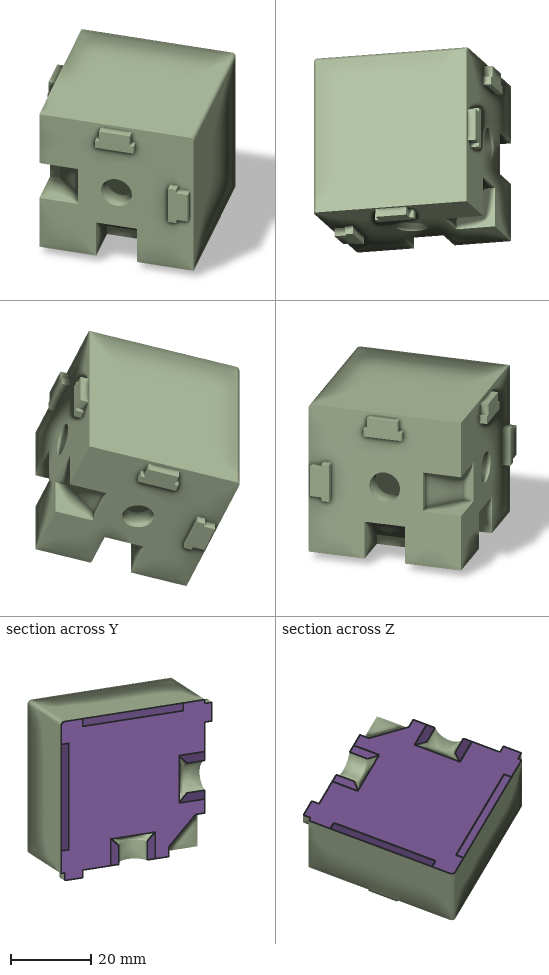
import cadquery as cq

overall = 42.0
tongue_height = 2.0
cube = overall - tongue_height
half = cube / 2
edge_radius = 1.0

tongue_edge_gap = 1.0
tongue_neck_width = 8.0
tongue_neck_length = 3.0
tongue_base_width = 10.0
tongue_base_length = 2.05

pocket_width = 10.55
pocket_depth = 10.0
pocket_wall = 2.5

bushing_diameter = 12.5
bore_diameter = 8.0
bore_length = 5.0
flare = 2.0
bushing_length = bore_length + flare

plate_diameter = 28.0
plate_thickness = 2.0

diagonal_start = (0, 0, 0)
diagonal_end = (1, 1, 1)
turn_angles = (0, 120, 240)


def turned(shape, angle):
    """Turn a shape about the cube diagonal."""
    return shape.rotate(diagonal_start, diagonal_end, angle)


def make_tongue():
    """Tongue under the -Z face, with its neck toward the +Y edge."""
    neck_end = half - tongue_edge_gap
    shoulder = neck_end - tongue_neck_length
    base_end = shoulder - tongue_base_length
    return (
        cq.Workplane("XY", origin=(0, 0, -half))
        .moveTo(-tongue_neck_width / 2, neck_end)
        .lineTo(tongue_neck_width / 2, neck_end)
        .lineTo(tongue_neck_width / 2, shoulder)
        .lineTo(tongue_base_width / 2, shoulder)
        .lineTo(tongue_base_width / 2, base_end)
        .lineTo(-tongue_base_width / 2, base_end)
        .lineTo(-tongue_base_width / 2, shoulder)
        .lineTo(-tongue_neck_width / 2, shoulder)
        .close()
        .extrude(-tongue_height)
    )


def make_pocket():
    """Cutter for the pocket halfway up the -X -Y edge."""
    return (
        cq.Workplane("XY", origin=(-half, -half, 0))
        .polyline([
            (0, 0),
            (pocket_depth, 0),
            (pocket_depth, pocket_wall),
            (pocket_wall, pocket_depth),
            (0, pocket_depth),
        ])
        .close()
        .extrude(pocket_width / 2, both=True)
    )


def make_bushing_seat():
    """Cutter for the blind hole that a bushing fills, in the -Z face."""
    return (
        cq.Workplane("XY", origin=(0, 0, -half))
        .circle(bushing_diameter / 2)
        .extrude(bushing_length)
    )


def make_bushing():
    """Bushing in the -Z face, its bore flared at the inner end."""
    return (
        make_bushing_seat()
        .faces("<Z").workplane()
        .hole(bore_diameter)
        .faces(">Z").edges(cq.selectors.RadiusNthSelector(0))
        .chamfer(flare)
    )


def make_plate():
    """Round plate set into the +Z face."""
    return (
        cq.Workplane("XY", origin=(0, 0, half))
        .circle(plate_diameter / 2)
        .extrude(-plate_thickness)
    )


def make_housing():
    """Cube with tongues, edge pockets and the seats of the other bodies."""
    body = (
        cq.Workplane("XY")
        .box(cube, cube, cube)
        .edges("(|Z and >X and >Y) or (|X and >Y and >Z) or (|Y and >Z and >X)")
        .fillet(edge_radius)
    )
    tongue_toward_y = make_tongue()
    tongue_toward_x = tongue_toward_y.rotate((0, 0, 0), (0, 0, 1), -90)
    for angle in turn_angles:
        body = body.union(turned(tongue_toward_y, angle))
        body = body.union(turned(tongue_toward_x, angle))
        body = body.cut(turned(make_pocket(), angle))
        body = body.cut(turned(make_bushing_seat(), angle))
        body = body.cut(turned(make_plate(), angle))
    return body


housing = make_housing()
bushings = [turned(make_bushing(), angle).val() for angle in turn_angles]
plates = [turned(make_plate(), angle).val() for angle in turn_angles]

result = cq.Compound.makeCompound([housing.val(), *bushings, *plates])